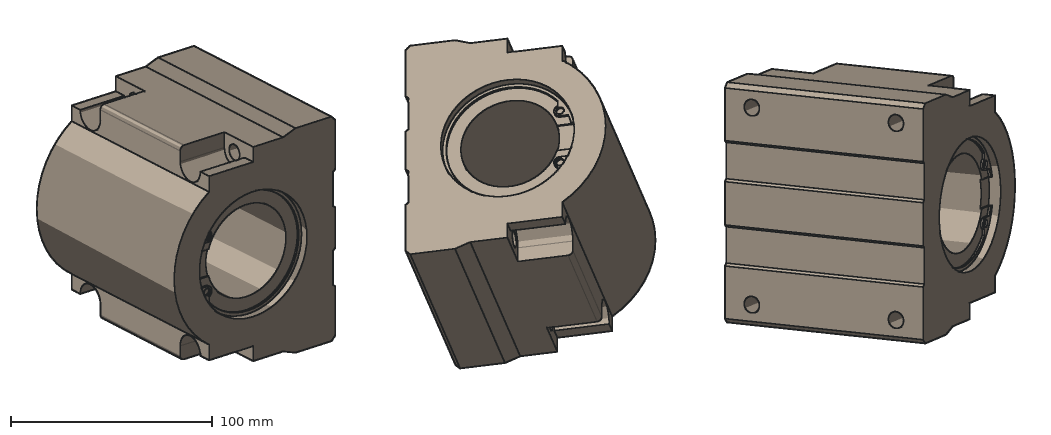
import cadquery as cq

length = 110.0
height = 122.0
base_y = 52.0
barrel_radius = 50.0
front_y = -27.9
body_half_height = 58.2
base_step_y = 26.7
body_step_y = 18.9
base_chamfer = 2.5
shoulder_fillet = 2.5

groove_depth = 1.5
groove_inner_z = 11.0
groove_outer_z = 31.8
groove_flank = 1.2

bolt_x = 40.0
bolt_z = 50.0
bolt_diameter = 8.4
seat_radius = 8.0
seat_y = 0.0

bore_diameter = 50.0
recess_diameter = 68.0
recess_depth = 5.5
ring_inner_radius = 32.2
ring_thickness = 1.2
ring_lug_y = -25.7
ring_lug_z = 15.0
ring_lug_radius = 3.0
ring_lug_hole_diameter = 4.0
ring_neck_y = -24.5
ring_neck_z = 21.0
slot_width = 14.6
slot_depth = 0.9

half_length = length / 2
half_height = height / 2
recess_floor_x = -half_length + recess_depth


def extrude_x(profile, start_x, distance):
    """Closed (Y, Z) polygon extruded along +X."""
    return cq.Workplane("YZ", origin=(start_x, 0, 0)).polyline(profile).close().extrude(distance)


def cylinder_x(radius, start_x, distance, y=0, z=0):
    return cq.Workplane("YZ", origin=(start_x, y, z)).circle(radius).extrude(distance)


def make_block():
    upper_side = [
        (front_y, body_half_height),
        (body_step_y, body_half_height),
        (base_step_y, half_height),
        (base_y - base_chamfer, half_height),
        (base_y, half_height - base_chamfer),
    ]
    lower_side = [(y, -z) for y, z in reversed(upper_side)]
    block = extrude_x(upper_side + lower_side, -half_length, length)
    block = block.faces("<Y").edges("|X").fillet(shoulder_fillet)
    return block.union(cylinder_x(barrel_radius, -half_length, length))


def make_base_groove(side):
    floor_y = base_y - groove_depth
    profile = [
        (base_y, side * groove_inner_z),
        (floor_y, side * (groove_inner_z + groove_flank)),
        (floor_y, side * (groove_outer_z - groove_flank)),
        (base_y, side * groove_outer_z),
    ]
    return extrude_x(profile, -half_length, length)


def make_bolt_cut(side_x, side_z):
    """Bolt hole and a round-bottomed seat that opens to the end and the outer side of the block."""
    x = side_x * bolt_x
    z = side_z * bolt_z
    seat_depth = seat_y - front_y
    inner_x = x - side_x * seat_radius
    outer_x = side_x * half_length
    hole = cq.Workplane("XZ", origin=(x, base_y, z)).circle(bolt_diameter / 2).extrude(base_y - front_y)
    seat = cq.Workplane("XZ", origin=(x, seat_y, z)).circle(seat_radius).extrude(seat_depth)
    open_corner = (
        cq.Workplane("XZ", origin=(0, seat_y, 0))
        .moveTo(inner_x, z)
        .lineTo(outer_x, z)
        .lineTo(outer_x, side_z * half_height)
        .lineTo(inner_x, side_z * half_height)
        .close()
        .extrude(seat_depth)
    )
    return hole.union(seat).union(open_corner)


def make_ring():
    """Retaining ring on the recess floor at the -X end, open towards -Y, with a pierced lug at each tip."""
    start_x = recess_floor_x - ring_thickness
    recess_radius = recess_diameter / 2
    disc = cylinder_x(recess_radius, start_x, ring_thickness)
    ring = disc.cut(cylinder_x(ring_inner_radius, start_x, ring_thickness))
    for side in (1, -1):
        neck_profile = [
            (ring_lug_y, side * (ring_lug_z - ring_lug_radius)),
            (ring_neck_y, side * ring_lug_z),
            (ring_neck_y, side * ring_neck_z),
            (-recess_radius, side * ring_neck_z),
            (-recess_radius, side * (ring_lug_z - ring_lug_radius)),
        ]
        neck = extrude_x(neck_profile, start_x, ring_thickness).intersect(disc)
        lug = cylinder_x(ring_lug_radius, start_x, ring_thickness, ring_lug_y, side * ring_lug_z)
        hole = cylinder_x(
            ring_lug_hole_diameter / 2, start_x, ring_thickness, ring_lug_y, side * ring_lug_z
        )
        ring = ring.union(neck).union(lug).cut(hole)
    return ring


def make_ring_gap():
    """Shallow slot between the ring tips, reaching from the bore to the recess wall."""
    radius = recess_diameter / 2
    start_x = recess_floor_x - ring_thickness
    depth = ring_thickness + slot_depth
    half_slot = slot_width / 2
    strip = [(-radius, -half_slot), (0, -half_slot), (0, half_slot), (-radius, half_slot)]
    return extrude_x(strip, start_x, depth).intersect(cylinder_x(radius, start_x, depth))


result = make_block()

for side in (1, -1):
    result = result.cut(make_base_groove(side))

for side_x in (1, -1):
    for side_z in (1, -1):
        result = result.cut(make_bolt_cut(side_x, side_z))

result = result.cut(cylinder_x(bore_diameter / 2, -half_length, length))

recess = cylinder_x(recess_diameter / 2, -half_length, recess_depth)
ring = make_ring()
ring_gap = make_ring_gap()
for at_far_end in (False, True):
    if at_far_end:
        recess, ring, ring_gap = [tool.mirror("YZ") for tool in (recess, ring, ring_gap)]
    result = result.cut(recess).union(ring).cut(ring_gap)